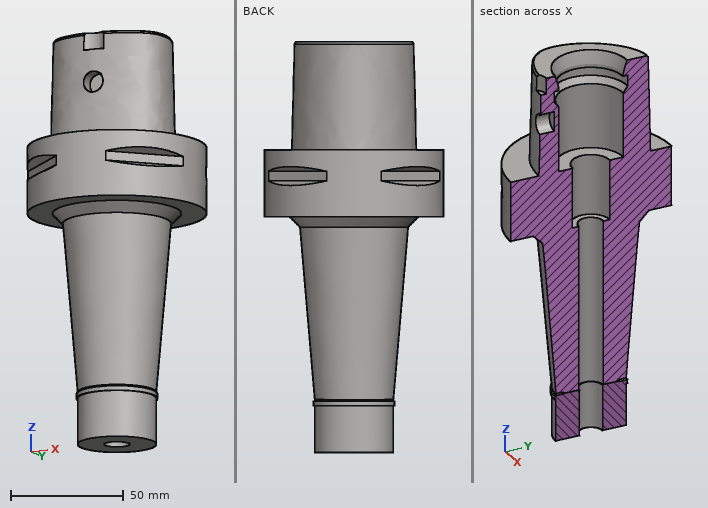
import cadquery as cq
import math

TOTAL_HEIGHT = 183.0
FLANGE_TOP = 134.9
FLANGE_BOTTOM = 105.0
NUT_HEIGHT = 22.9
SHANK_BOTTOM = 23.6

FLANGE_RADIUS = 39.99
COLLAR_RADIUS = 28.7
SHANK_TOP_RADIUS = 24.2
COLLAR_BOTTOM = FLANGE_BOTTOM - (COLLAR_RADIUS - SHANK_TOP_RADIUS)
SHANK_BOTTOM_RADIUS = 17.5
NECK_RADIUS = 13.7

POLYGON_RADIUS = 27.8
LOBE_HEIGHT = 1.8
LOBES = 3
POLYGON_POINTS = 48
TAPER_PER_SIDE = 1 / 40
TOP_CHAMFER_HEIGHT = 1.1
TOP_CHAMFER_WIDTH = 0.7

MOUTH_RADIUS = 17.8
SOCKET_RADIUS = 16.0
MOUTH_CONE_DEPTH = 6.2
UNDERCUT_RADIUS = 18.1
UNDERCUT_TOP_DEPTH = 7.9
UNDERCUT_WALL_DEPTH = 13.0
UNDERCUT_BOTTOM_DEPTH = 16.1
SOCKET_FLOOR = FLANGE_TOP
COUNTERBORE_RADIUS = 9.2
COUNTERBORE_FLOOR = FLANGE_BOTTOM
CHANNEL_RADIUS = 6.0

NOTCH_DEPTH = 7.9
NOTCH_RADIUS = 6.2
NOTCH_BACK = 22.3
SIDE_HOLE_RADIUS = 4.8
SIDE_HOLE_HEIGHT = 160.3
SIDE_HOLE_FLOOR = 18.3

SLOT_COUNT = 4
SLOT_HEIGHT = 123.2
SLOT_FLOOR_DISTANCE = 35.5
SLOT_FLOOR_WIDTH = 4.2
SLOT_MOUTH_WIDTH = 8.5

NUT_RADIUS = 17.5
NUT_RIM_RADIUS = 18.1
NUT_RIM_BOTTOM = 20.9
NUT_BORE_RADIUS = 5.7


def revolve_profile(points):
    """Revolve a closed (radius, height) outline around the Z axis."""
    return cq.Workplane("XZ").polyline(points).close().revolve(360, (0, 0), (0, 1))


def polygon_wire(inset, height):
    """Rounded three-lobe outline of constant width, with one lobe towards +Y."""
    points = []
    for i in range(POLYGON_POINTS):
        angle = 2 * math.pi * i / POLYGON_POINTS
        reach = POLYGON_RADIUS - inset + LOBE_HEIGHT * math.cos(LOBES * angle)
        slope = -LOBES * LOBE_HEIGHT * math.sin(LOBES * angle)
        along_lobe = reach * math.cos(angle) - slope * math.sin(angle)
        across_lobe = reach * math.sin(angle) + slope * math.cos(angle)
        points.append(cq.Vector(-across_lobe, along_lobe, height))
    return cq.Wire.assembleEdges([cq.Edge.makeSpline(points, periodic=True)])


def make_polygon_taper():
    chamfer_start = TOTAL_HEIGHT - TOP_CHAMFER_HEIGHT
    top_inset = TAPER_PER_SIDE * (chamfer_start - FLANGE_TOP)
    base = polygon_wire(0, FLANGE_TOP)
    shoulder = polygon_wire(top_inset, chamfer_start)
    top = polygon_wire(top_inset + TOP_CHAMFER_WIDTH, TOTAL_HEIGHT)
    return cq.Workplane(cq.Solid.makeLoft([base, shoulder, top], True))


def make_flange_and_shank():
    return revolve_profile([
        (0, FLANGE_TOP),
        (FLANGE_RADIUS, FLANGE_TOP),
        (FLANGE_RADIUS, FLANGE_BOTTOM),
        (COLLAR_RADIUS, FLANGE_BOTTOM),
        (SHANK_TOP_RADIUS, COLLAR_BOTTOM),
        (SHANK_BOTTOM_RADIUS, SHANK_BOTTOM),
        (NECK_RADIUS, SHANK_BOTTOM),
        (NECK_RADIUS, NUT_HEIGHT),
        (0, NUT_HEIGHT),
    ])


def make_bore_cutter():
    return revolve_profile([
        (0, TOTAL_HEIGHT),
        (MOUTH_RADIUS, TOTAL_HEIGHT),
        (SOCKET_RADIUS, TOTAL_HEIGHT - MOUTH_CONE_DEPTH),
        (SOCKET_RADIUS, TOTAL_HEIGHT - UNDERCUT_TOP_DEPTH),
        (UNDERCUT_RADIUS, TOTAL_HEIGHT - UNDERCUT_TOP_DEPTH),
        (UNDERCUT_RADIUS, TOTAL_HEIGHT - UNDERCUT_WALL_DEPTH),
        (SOCKET_RADIUS, TOTAL_HEIGHT - UNDERCUT_BOTTOM_DEPTH),
        (SOCKET_RADIUS, SOCKET_FLOOR),
        (COUNTERBORE_RADIUS, SOCKET_FLOOR),
        (COUNTERBORE_RADIUS, COUNTERBORE_FLOOR),
        (CHANNEL_RADIUS, COUNTERBORE_FLOOR),
        (CHANNEL_RADIUS, NUT_HEIGHT),
        (0, NUT_HEIGHT),
    ])


def make_notch_cutter():
    return (
        cq.Workplane("XY", origin=(0, -NOTCH_BACK - NOTCH_RADIUS, TOTAL_HEIGHT - NOTCH_DEPTH))
        .circle(NOTCH_RADIUS)
        .extrude(NOTCH_DEPTH)
    )


def make_side_hole_cutter():
    return (
        cq.Workplane("XZ", origin=(0, -SIDE_HOLE_FLOOR, SIDE_HOLE_HEIGHT))
        .circle(SIDE_HOLE_RADIUS)
        .extrude(FLANGE_RADIUS - SIDE_HOLE_FLOOR)
    )


def make_slot_cutter(angle):
    """Straight slot with sloping walls, tangential to the flange."""
    half_floor = SLOT_FLOOR_WIDTH / 2
    half_mouth = SLOT_MOUTH_WIDTH / 2
    return (
        cq.Workplane("XZ")
        .polyline([
            (SLOT_FLOOR_DISTANCE, SLOT_HEIGHT - half_floor),
            (FLANGE_RADIUS, SLOT_HEIGHT - half_mouth),
            (FLANGE_RADIUS, SLOT_HEIGHT + half_mouth),
            (SLOT_FLOOR_DISTANCE, SLOT_HEIGHT + half_floor),
        ])
        .close()
        .extrude(FLANGE_RADIUS, both=True)
        .rotate((0, 0, 0), (0, 0, 1), angle)
    )


def make_holder():
    holder = make_flange_and_shank().union(make_polygon_taper())
    holder = holder.cut(make_bore_cutter())
    holder = holder.cut(make_notch_cutter())
    holder = holder.cut(make_side_hole_cutter())
    slot_pitch = 360 / SLOT_COUNT
    for i in range(SLOT_COUNT):
        holder = holder.cut(make_slot_cutter((i + 0.5) * slot_pitch))
    return holder


def make_nut():
    return revolve_profile([
        (NUT_BORE_RADIUS, 0),
        (NUT_RADIUS, 0),
        (NUT_RADIUS, NUT_RIM_BOTTOM),
        (NUT_RIM_RADIUS, NUT_RIM_BOTTOM),
        (NUT_RIM_RADIUS, NUT_HEIGHT),
        (NUT_BORE_RADIUS, NUT_HEIGHT),
    ])


holder = make_holder()
nut = make_nut()
result = cq.Compound.makeCompound([holder.solids().val(), nut.val()])